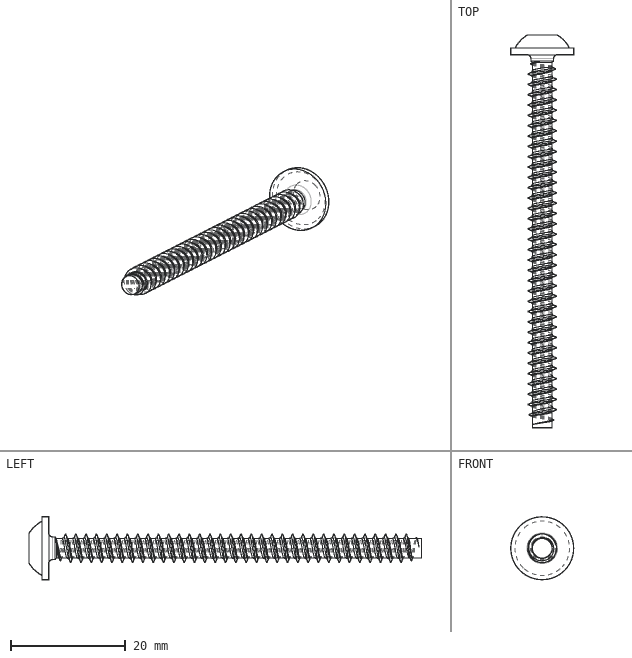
import cadquery as cq
import math


flange_radius = 11.0 / 2
flange_thickness = 1.2
head_height = 3.5
dome_base_radius = 4.75
dome_top_radius = 2.6
dome_bulge = 0.22

shank_length = 65.0
core_radius = 3.43 / 2
neck_radius = 2.0
neck_fillet = 0.65
neck_end = 1.1
neck_taper_length = 0.2

pitch = 1.8
crest_radius = 5.0 / 2
head_side_foot = 0.85
tip_side_foot = 0.5
shoulder_half_width = 0.25
shoulder_height = 0.15
root_sink = 0.1
faded_scale = 0.1
thread_start = 0.65
run_in_turns = 1.25
full_turns = 33.0
run_out_turns = 1.25


def make_body():
    """Head, neck and plain core as one revolved profile."""
    dome_height = head_height - flange_thickness
    dome_run = dome_base_radius - dome_top_radius
    chord = math.hypot(dome_run, dome_height)
    dome_mid = (
        (dome_base_radius + dome_top_radius) / 2 + dome_bulge * dome_height / chord,
        -(flange_thickness + head_height) / 2 - dome_bulge * dome_run / chord,
    )
    fillet_radius_out = neck_radius + neck_fillet
    fillet_inset = neck_fillet * math.sqrt(0.5)
    fillet_mid = (fillet_radius_out - fillet_inset, neck_fillet - fillet_inset)
    profile = (
        cq.Workplane("XZ")
        .moveTo(0, -head_height)
        .lineTo(dome_top_radius, -head_height)
        .threePointArc(dome_mid, (dome_base_radius, -flange_thickness))
        .lineTo(flange_radius, -flange_thickness)
        .lineTo(flange_radius, 0)
        .lineTo(fillet_radius_out, 0)
        .threePointArc(fillet_mid, (neck_radius, neck_fillet))
        .lineTo(neck_radius, neck_end)
        .lineTo(core_radius, neck_end + neck_taper_length)
        .lineTo(core_radius, shank_length)
        .lineTo(0, shank_length)
        .close()
    )
    return profile.revolve(360, (0, 0, 0), (0, 1, 0)).val()


def helix_edge(turns, start_point, end_point):
    """Helix from +X whose (radius, offset along Z) moves evenly from start_point to end_point."""
    start_radius, start_offset = start_point
    end_radius, end_offset = end_point
    height = turns * pitch + end_offset - start_offset
    helix_pitch = height / turns
    if start_radius == end_radius:
        wire = cq.Wire.makeHelix(helix_pitch, height, start_radius)
    else:
        cone_angle = math.atan2(end_radius - start_radius, height)
        slant = 1 / math.cos(cone_angle)
        cone_degrees = math.degrees(cone_angle)
        wire = cq.Wire.makeHelix(helix_pitch * slant, height * slant, start_radius, angle=cone_degrees)
    return wire.translate(cq.Vector(0, 0, start_offset)).Edges()[0]


def ridge_section(scale):
    """Corners of the ridge section as (radius, offset along Z), shrunk by scale towards its root."""
    root_radius = core_radius - root_sink
    shoulder_radius = root_radius + scale * (root_sink + shoulder_height)
    peak_radius = root_radius + scale * (crest_radius - root_radius)
    return [
        (root_radius, -scale * head_side_foot),
        (shoulder_radius, -scale * shoulder_half_width),
        (peak_radius, 0),
        (shoulder_radius, scale * shoulder_half_width),
        (root_radius, scale * tip_side_foot),
    ]


def thread_ridge(first_turn, turns, start_scale, end_scale):
    """Solid stretch of thread ridge beginning first_turn turns along the thread."""
    edges = []
    for start_point, end_point in zip(ridge_section(start_scale), ridge_section(end_scale)):
        edges.append(helix_edge(turns, start_point, end_point))
    faces = []
    for edge, next_edge in zip(edges, edges[1:] + edges[:1]):
        faces.append(cq.Face.makeRuledSurface(edge, next_edge))
    start_corners = [edge.startPoint() for edge in edges]
    end_corners = [edge.endPoint() for edge in edges]
    for corners in (start_corners, end_corners):
        faces.append(cq.Face.makeFromWires(cq.Wire.makePolygon(corners, close=True)))
    ridge = cq.Solid.makeSolid(cq.Shell.makeShell(faces)).fix()
    turned = ridge.rotate(cq.Vector(0, 0, 0), cq.Vector(0, 0, 1), 360 * first_turn)
    return turned.translate(cq.Vector(0, 0, thread_start + first_turn * pitch))


def make_thread():
    """Run-in, full-height and run-out stretches of the thread, end to end."""
    return [
        thread_ridge(0, run_in_turns, faded_scale, 1),
        thread_ridge(run_in_turns, full_turns, 1, 1),
        thread_ridge(run_in_turns + full_turns, run_out_turns, 1, faded_scale),
    ]


screw = make_body()
for ridge in make_thread():
    screw = screw.fuse(ridge)

result = cq.Workplane(screw).rotate((0, 0, 0), (1, 0, 0), 90)